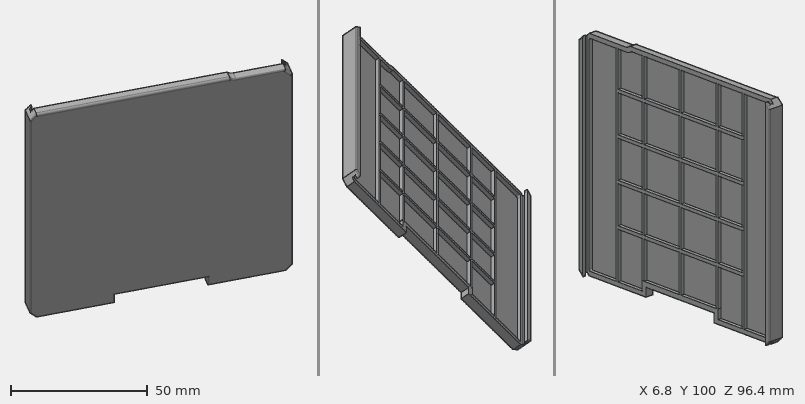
import cadquery as cq
import math

thickness = 6.8
width = 100.0
height = 96.4

half_width = width / 2
half_height = height / 2
x_back = thickness / 2
x_front = -thickness / 2

panel_thickness = 3.8
lip_thickness = 1.5
rail_wall = 1.3
rail_depth = 2.2
corner_chamfer = 2.5

x_face = x_back - panel_thickness
straight_y = half_width - corner_chamfer
straight_z = half_height - corner_chamfer

ramp_high_y = 26.2
ramp_radius = 3.2
ramp_angle = math.radians(45)

ramp_low_y = ramp_high_y + ramp_radius * math.sin(ramp_angle)
top_drop = ramp_radius * (1 - math.cos(ramp_angle))
low_top = half_height - top_drop

small_round = 0.4
large_round = 1.0

notch_width = 35.6
notch_height = 3.9

recess_depth = 1.6
rim_width = 1.9
notch_rim = 2.1
recess_half_width = 47.5
recess_corner_round = 0.7

upright_width = 1.0
inner_upright_y = 19.3
outer_upright_y = 33.0
crossbar_width = 1.4
crossbar_count = 4
crossbar_pitch = 17.9
lowest_crossbar_z = -24.9

upright_centers = [-outer_upright_y, -inner_upright_y, 0.0, inner_upright_y, outer_upright_y]


def box(x_range, y_range, z_range):
    """Axis-aligned box spanning the given (low, high) ranges."""
    lows, highs = zip(x_range, y_range, z_range)
    lengths = [high - low for low, high in zip(lows, highs)]
    return cq.Workplane("XY").box(*lengths, centered=False).translate(lows)


def ramped_prism(x_range, half_span, inset, other_points):
    """Extrude along X a (Y, Z) outline whose top edge steps down over the ramp.

    The top edge runs from -half_span to +half_span, inset below the panel's own top edge;
    other_points continue the outline clockwise from its +Y end.
    """
    x_low, x_high = x_range
    high_z = half_height - inset
    low_z = low_top - inset
    half_angle = ramp_angle / 2
    shift = inset * math.tan(half_angle)
    ramp_middle = (
        ramp_low_y - shift - ramp_radius * math.sin(half_angle),
        low_z + ramp_radius * (1 - math.cos(half_angle)),
    )
    outline = (
        cq.Workplane("YZ", origin=(x_low, 0, 0))
        .moveTo(-half_span, high_z)
        .lineTo(ramp_high_y - shift, high_z)
        .threePointArc(ramp_middle, (ramp_low_y - shift, low_z))
        .lineTo(half_span, low_z)
    )
    for point in other_points:
        outline = outline.lineTo(*point)
    return outline.close().extrude(x_high - x_low)


def make_blank():
    """Full-thickness block with chamfered corners, lowered top stretch and bottom notch."""
    half_notch = notch_width / 2
    notch_top = notch_height - half_height
    other_points = [
        (half_width, low_top - corner_chamfer),
        (half_width, -straight_z),
        (straight_y, -half_height),
        (half_notch, -half_height),
        (half_notch, notch_top),
        (-half_notch, notch_top),
        (-half_notch, -half_height),
        (-straight_y, -half_height),
        (-half_width, -straight_z),
        (-half_width, straight_z),
    ]
    blank = ramped_prism((x_front, x_back), straight_y, 0, other_points)
    return blank.faces("<X or >X").edges().fillet(small_round)


def make_back_round(start, end):
    """Cutter that rounds the back edge between two (Y, Z) points, given in clockwise order."""
    run = (0, end[0] - start[0], end[1] - start[1])
    plane = cq.Plane(origin=(x_back, *start), xDir=(1, 0, 0), normal=run)
    arc_middle = large_round * (1 - math.sqrt(0.5))
    profile = (
        cq.Workplane(plane)
        .moveTo(-large_round, 0)
        .threePointArc((-arc_middle, arc_middle), (0, large_round))
        .lineTo(0, 0)
        .close()
    )
    return profile.extrude(math.hypot(*run))


def make_rail_clearance():
    """Space in front of the panel: open between the lips, and undercut behind them."""
    full_z = (-half_height, half_height)
    lip_y = half_width - rail_depth
    groove_y = half_width - rail_wall
    opening = box((x_front, x_face), (-lip_y, lip_y), full_z)
    grooves = box((x_front + lip_thickness, x_face), (-groove_y, groove_y), full_z)
    return opening.union(grooves)


def make_recess():
    """Shallow pocket in the front face, following the panel outline inside the rim."""
    bottom = rim_width - half_height
    notch_edge_y = notch_width / 2 + notch_rim
    notch_edge_z = notch_height + notch_rim - half_height
    other_points = [
        (recess_half_width, bottom),
        (notch_edge_y, bottom),
        (notch_edge_y, notch_edge_z),
        (-notch_edge_y, notch_edge_z),
        (-notch_edge_y, bottom),
        (-recess_half_width, bottom),
    ]
    recess = ramped_prism((x_face, x_face + recess_depth), recess_half_width, rim_width, other_points)
    return recess.edges("|X").edges("<Y or >Y").fillet(recess_corner_round)


def make_ribs():
    """Upright ribs over the full height, and crossbars between the outermost uprights."""
    rib_x = (x_face, x_face + recess_depth)
    ribs = cq.Workplane("XY")
    for y in upright_centers:
        y_range = (y - upright_width / 2, y + upright_width / 2)
        ribs = ribs.add(box(rib_x, y_range, (-half_height, half_height)))
    for index in range(crossbar_count):
        z = lowest_crossbar_z + index * crossbar_pitch
        z_range = (z - crossbar_width / 2, z + crossbar_width / 2)
        ribs = ribs.add(box(rib_x, (-outer_upright_y, outer_upright_y), z_range))
    return ribs.combine()


top_round = make_back_round((-straight_y, half_height), (ramp_high_y, half_height))
corner_round = make_back_round((straight_y, low_top), (half_width, low_top - corner_chamfer))
panel = make_blank().cut(top_round).cut(corner_round).cut(make_rail_clearance())
cells = make_recess().cut(make_ribs())
result = panel.cut(cells)